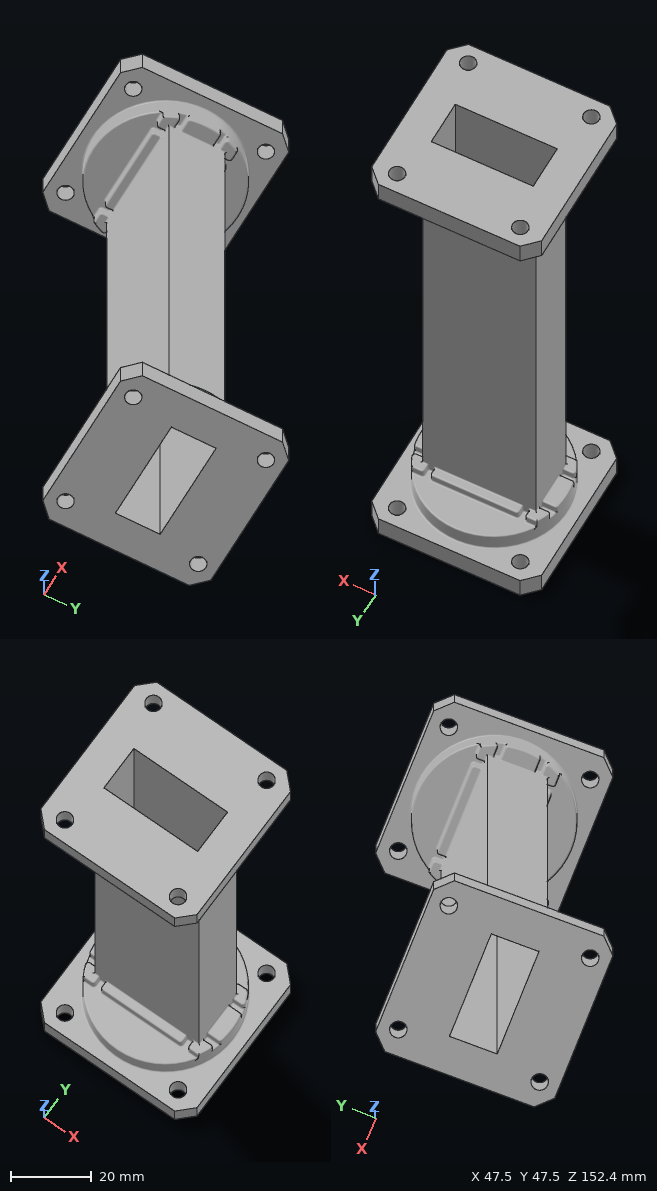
import cadquery as cq
import math

LENGTH = 152.4
TUBE_X = 31.7
TUBE_Y = 15.8
BORE_X = 28.5
BORE_Y = 12.6

FLANGE_SIDE = 47.5
FLANGE_THICKNESS = 6.4
FLANGE_CHAMFER = 4.0
HOLE_X = 17.2
HOLE_Y = 18.7
HOLE_DIAMETER = 4.3

HUB_DIAMETER = 41.0
HUB_RADIUS = HUB_DIAMETER / 2
HUB_TOP = 11.3
COLLAR_TOP = 13.5
COLLAR_Y = 21.0

NOTCH_WIDTH = 1.8
NOTCH_X = 13.3
NOTCH_Y = 5.5
NOTCH_ROUND = 0.8

EDGE_ROUND = 0.5
TUBE_ROUND = 0.38

TOLERANCE = 0.002
SIGNS = (-1, 1)


def centred_box(x_size, y_size, bottom, top):
    """Box centred on the Z axis, from height bottom to height top."""
    return cq.Workplane("XY").workplane(offset=bottom).rect(x_size, y_size).extrude(top - bottom)


def round_column(bottom, top):
    """Cylinder of the hub radius on the Z axis, from height bottom to height top."""
    return cq.Workplane("XY").workplane(offset=bottom).circle(HUB_RADIUS).extrude(top - bottom)


def near(a, b):
    return abs(a - b) < TOLERANCE


def is_notch_mouth(edge):
    """True for an upright edge where a notch opens onto the outer wall of the collar."""
    x, y, _ = edge.Center().toTuple()
    on_flat_wall = near(abs(y), COLLAR_Y / 2) and abs(abs(x) - NOTCH_X) < NOTCH_WIDTH
    on_round_wall = near(math.hypot(x, y), HUB_RADIUS) and abs(abs(y) - NOTCH_Y) < NOTCH_WIDTH
    return on_flat_wall or on_round_wall


def lies_at_height(edge, height):
    box = edge.BoundingBox()
    return near(box.zmin, height) and near(box.zmax, height)


def touches_tube(edge):
    """True for an edge that lies along a side of the tube."""
    x, y, _ = edge.Center().toTuple()
    on_long_side = near(abs(y), TUBE_Y / 2) and abs(x) < TUBE_X / 2 + TOLERANCE
    on_short_side = near(abs(x), TUBE_X / 2) and abs(y) < TUBE_Y / 2 + TOLERANCE
    return on_long_side or on_short_side


def flange_plate():
    plate = centred_box(FLANGE_SIDE, FLANGE_SIDE, 0, FLANGE_THICKNESS)
    return plate.edges("|Z").chamfer(FLANGE_CHAMFER)


def collar():
    """Band across the hub, split into blocks that surround the tube."""
    blocks = round_column(HUB_TOP, COLLAR_TOP)
    blocks = blocks.intersect(centred_box(2 * HUB_RADIUS, COLLAR_Y, HUB_TOP, COLLAR_TOP))
    blocks = blocks.cut(centred_box(TUBE_X, TUBE_Y, HUB_TOP, COLLAR_TOP))
    notch_along_y = centred_box(NOTCH_WIDTH, 2 * HUB_RADIUS, HUB_TOP, COLLAR_TOP)
    notch_along_x = centred_box(2 * HUB_RADIUS, NOTCH_WIDTH, HUB_TOP, COLLAR_TOP)
    for sign in SIGNS:
        blocks = blocks.cut(notch_along_y.translate((sign * NOTCH_X, 0, 0)))
        blocks = blocks.cut(notch_along_x.translate((0, sign * NOTCH_Y, 0)))
    return blocks.edges("|Z").filter(is_notch_mouth).fillet(NOTCH_ROUND)


def is_collar_rim(edge):
    """True for a free upper edge of the collar."""
    return lies_at_height(edge, COLLAR_TOP) and not touches_tube(edge)


def is_tube_joint(edge):
    """True for an edge where the top or a notch wall of the collar meets the tube."""
    box = edge.BoundingBox()
    within_collar = box.zmin > HUB_TOP - TOLERANCE and box.zmax < COLLAR_TOP + TOLERANCE
    is_straight_up = near(box.xlen, 0) and near(box.ylen, 0)
    follows_joint = is_straight_up or lies_at_height(edge, COLLAR_TOP)
    return touches_tube(edge) and within_collar and follows_joint


def round_edges(body):
    """Fillet the hub foot, the hub top, the collar rim and the joints of collar and tube."""
    hub_foot = body.edges("%CIRCLE").filter(lambda edge: lies_at_height(edge, FLANGE_THICKNESS))
    body = hub_foot.fillet(EDGE_ROUND)
    body = body.edges().filter(lambda edge: lies_at_height(edge, HUB_TOP)).fillet(EDGE_ROUND)
    body = body.edges().filter(is_collar_rim).fillet(EDGE_ROUND)
    return body.edges().filter(is_tube_joint).fillet(TUBE_ROUND)


def lower_half():
    body = flange_plate()
    body = body.union(round_column(FLANGE_THICKNESS, HUB_TOP))
    body = body.union(collar())
    body = body.union(centred_box(TUBE_X, TUBE_Y, 0, LENGTH / 2))
    return round_edges(body)


def bolt_holes():
    corners = [(sx * HOLE_X, sy * HOLE_Y) for sx in SIGNS for sy in SIGNS]
    return cq.Workplane("XY").pushPoints(corners).circle(HOLE_DIAMETER / 2).extrude(LENGTH)


half = lower_half()
both_halves = half.union(half.mirror("XY", (0, 0, LENGTH / 2)))
result = both_halves.cut(centred_box(BORE_X, BORE_Y, 0, LENGTH)).cut(bolt_holes()).solids()